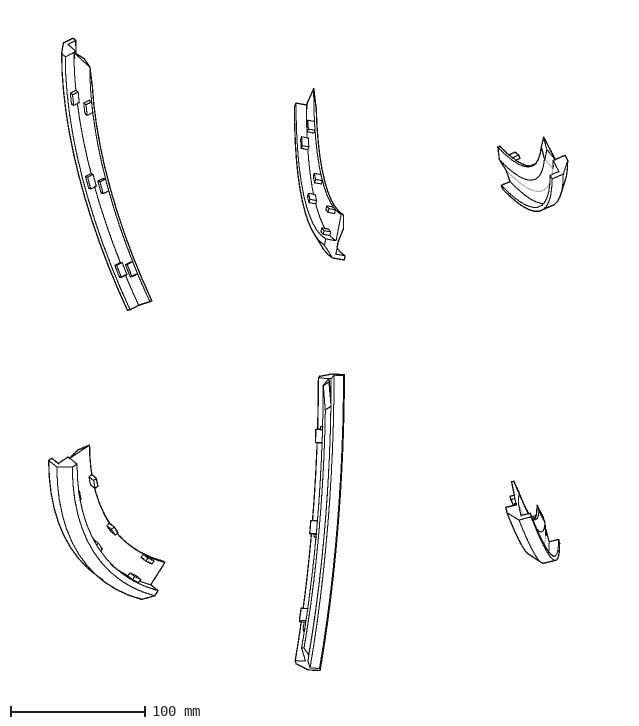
import cadquery as cq
import math

SWEEP_ANGLE = 45.0
HEIGHT = 205.6
OUTER_RADIUS = HEIGHT / math.sin(math.radians(SWEEP_ANGLE))

RIM_DEPTH = 17.0
RIM_WIDTH = 13.2
WALL_THICKNESS = 3.3
LEDGE_Y = 9.9
CHAMFER_WIDTH = 8.5
CHAMFER_DEPTH = 7.8

TOTAL_WIDTH = 33.1
PLATE_WIDTH = TOTAL_WIDTH - RIM_WIDTH
PLATE_FRONT_Y = 8.0
ROOF_RISE = 2.0
INNER_RADIUS = OUTER_RADIUS - TOTAL_WIDTH
RIM_INNER_RADIUS = OUTER_RADIUS - RIM_WIDTH
RIDGE_RADIUS = (RIM_INNER_RADIUS + INNER_RADIUS) / 2

RAMP_LENGTH = 18.5
END_EDGE_THICKNESS = 0.2
CUT_MARGIN = 4.1

TAB_LENGTH = 9.9
TAB_THICKNESS = 2.9
TAB_PROJECTION = 5.1
TAB_EMBED = 1.0
FIRST_TAB_ANGLE = 8.6
TAB_SPACING_ANGLE = 15.1
TAB_PAIRS = 3


def sweep_section(points):
    """Revolve a section drawn in the XY plane about the Y axis."""
    section = cq.Workplane("XY").polyline(points).close()
    return section.revolve(SWEEP_ANGLE, (0, 0, 0), (0, -1, 0))


def make_rim():
    outer_x = -OUTER_RADIUS
    inner_x = -RIM_INNER_RADIUS
    wall_x = outer_x + WALL_THICKNESS
    return sweep_section([
        (outer_x, CHAMFER_DEPTH),
        (outer_x + CHAMFER_WIDTH, 0),
        (inner_x, 0),
        (inner_x, LEDGE_Y),
        (wall_x, LEDGE_Y),
        (wall_x, RIM_DEPTH),
        (outer_x, RIM_DEPTH),
    ])


def make_plate():
    return sweep_section([
        (-RIM_INNER_RADIUS, PLATE_FRONT_Y),
        (-INNER_RADIUS, PLATE_FRONT_Y),
        (-INNER_RADIUS, LEDGE_Y),
        (-RIDGE_RADIUS, LEDGE_Y + ROOF_RISE),
        (-RIM_INNER_RADIUS, LEDGE_Y),
    ])


def make_ramp_cutter():
    """Space behind the ramp: a roof outline that rises with distance from the end."""
    half_width = PLATE_WIDTH / 2 + CUT_MARGIN
    margin_drop = ROOF_RISE * CUT_MARGIN / (PLATE_WIDTH / 2)

    def roof_points(edge_y):
        low_y = edge_y - margin_drop
        top_y = edge_y + RIM_DEPTH
        return [
            (-RIDGE_RADIUS - half_width, low_y),
            (-RIDGE_RADIUS, edge_y + ROOF_RISE),
            (-RIDGE_RADIUS + half_width, low_y),
            (-RIDGE_RADIUS + half_width, top_y),
            (-RIDGE_RADIUS - half_width, top_y),
        ]

    end_section = cq.Workplane("XY").polyline(roof_points(PLATE_FRONT_Y + END_EDGE_THICKNESS)).close()
    full_section = end_section.workplane(offset=-RAMP_LENGTH).polyline(roof_points(LEDGE_Y)).close()
    return full_section.loft(ruled=True)


def make_tab(inner_radius, outer_radius, angle):
    tab = cq.Workplane("XY").box(
        outer_radius - inner_radius,
        TAB_PROJECTION + TAB_EMBED,
        TAB_LENGTH,
        centered=(False, False, True),
    )
    tab = tab.translate((-outer_radius, PLATE_FRONT_Y - TAB_PROJECTION, 0))
    return tab.rotate((0, 0, 0), (0, -1, 0), angle)


plate = make_plate().cut(make_ramp_cutter())
rail = make_rim().union(plate)

for pair in range(TAB_PAIRS):
    tab_angle = FIRST_TAB_ANGLE + pair * TAB_SPACING_ANGLE
    rail = rail.union(make_tab(INNER_RADIUS, INNER_RADIUS + TAB_THICKNESS, tab_angle))
    rail = rail.union(make_tab(RIM_INNER_RADIUS - TAB_THICKNESS, RIM_INNER_RADIUS + TAB_EMBED, tab_angle))

result = rail